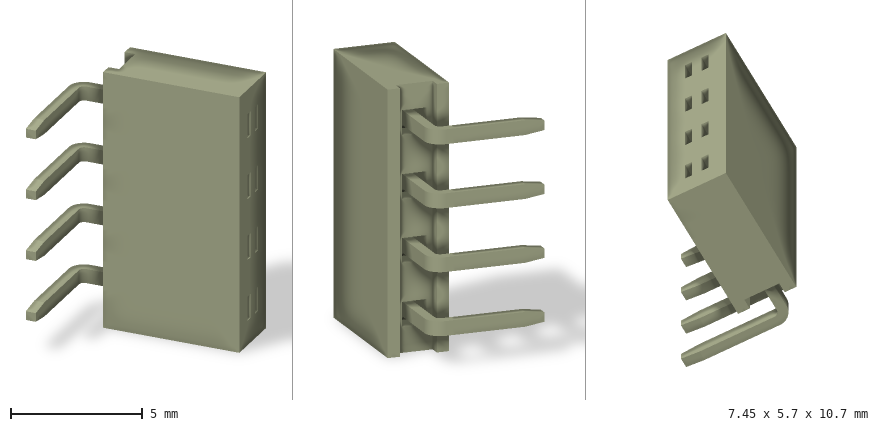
import cadquery as cq

height = 10.66
body_length = 5.66
body_depth = 2.5
rail_width = 0.5
channel_depth = 0.44

pin_count = 4
pin_pitch = 2.54
opening_size = 1.0

pin_overhang = 1.79
pin_reach = 3.2
pin_thickness = 0.42
pin_width = 0.59
bend_outer_radius = 0.63
bend_inner_radius = bend_outer_radius - pin_thickness
tip_length = 0.8
tip_width = 0.36
pin_drop = 0.02

contact_height = 1.07
flare_setback = 0.64
flare_length = 0.31

body_left = -body_length / 2
body_right = body_length / 2
channel_floor = body_left + channel_depth
flare_start = channel_floor + flare_setback
pin_left = body_left - pin_overhang
pin_tip = -body_depth / 2 - pin_reach
pin_levels = [(i - (pin_count - 1) / 2) * pin_pitch for i in range(pin_count)]


def make_housing():
    """Block with a full-height channel in its -X face and one through opening per pin."""
    housing = cq.Workplane("XY").box(body_length, body_depth, height)
    channel = (
        cq.Workplane("XY")
        .box(channel_depth, body_depth - 2 * rail_width, height)
        .translate((body_left + channel_depth / 2, 0, 0))
    )
    housing = housing.cut(channel)
    for level in pin_levels:
        opening = cq.Workplane("XY").box(body_length, opening_size, opening_size)
        housing = housing.cut(opening.translate((0, 0, level)))
    return housing


def make_bent_pin():
    """Right-angle pin running along X, then toward -Y to a tip narrowed in Z."""
    half_thickness = pin_thickness / 2
    leg_length = half_thickness - pin_tip
    run_length = flare_start - pin_left
    run = (
        cq.Workplane("XY")
        .box(run_length, pin_thickness, pin_width)
        .translate((pin_left + run_length / 2, 0, 0))
    )
    leg = (
        cq.Workplane("XY")
        .box(pin_thickness, leg_length, pin_width)
        .translate((pin_left + half_thickness, pin_tip + leg_length / 2, 0))
    )
    pin = run.union(leg)
    inner_corner = (pin_left + pin_thickness, -half_thickness, 0)
    outer_corner = (pin_left, half_thickness, 0)
    pin = pin.edges(cq.selectors.NearestToPointSelector(inner_corner)).fillet(bend_inner_radius)
    pin = pin.edges(cq.selectors.NearestToPointSelector(outer_corner)).fillet(bend_outer_radius)
    tip_start = pin_tip + tip_length
    for side in (-1, 1):
        corner = (
            cq.Workplane("YZ")
            .polyline([
                (tip_start, side * pin_width / 2),
                (pin_tip, side * pin_width / 2),
                (pin_tip, side * tip_width / 2),
            ])
            .close()
            .extrude(pin_thickness)
            .translate((pin_left, 0, 0))
        )
        pin = pin.cut(corner)
    return pin


def make_contact():
    """Plate that flares from the pin width to fill the opening in Z and runs to the +X face."""
    flare_end = flare_start + flare_length
    return (
        cq.Workplane("XZ")
        .polyline([
            (flare_start, -pin_width / 2),
            (flare_end, -contact_height / 2),
            (body_right, -contact_height / 2),
            (body_right, contact_height / 2),
            (flare_end, contact_height / 2),
            (flare_start, pin_width / 2),
        ])
        .close()
        .extrude(pin_thickness / 2, both=True)
    )


terminal = make_bent_pin().union(make_contact())
result = make_housing()
for level in pin_levels:
    result = result.union(terminal.translate((0, 0, level - pin_drop)))